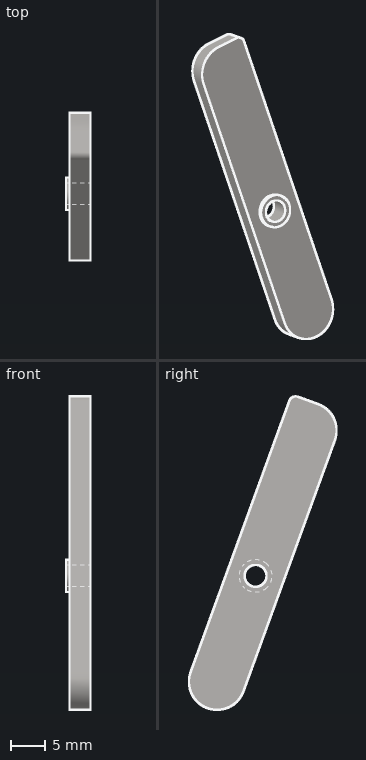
import cadquery as cq
import math

tilt = 20.0
width = 8.2
plate_thickness = 3.1
arc_center_spacing = 38.8
small_corner_radius = 1.0
end_radius = width / 2

pivot_to_lower_arc = 16.35
boss_diameter = 4.75
boss_height = 0.5
bore_diameter = 3.15

lower_arc_z = -pivot_to_lower_arc
upper_arc_z = lower_arc_z + arc_center_spacing
top_z = upper_arc_z + end_radius


def make_plate():
    """Upright plate from X = 0 to +X, with the pivot axis at Y = Z = 0."""
    corner_y = -end_radius + small_corner_radius
    corner_z = top_z - small_corner_radius
    diagonal = math.sqrt(0.5)
    return (
        cq.Workplane("YZ")
        .moveTo(-end_radius, lower_arc_z)
        .threePointArc((0, lower_arc_z - end_radius), (end_radius, lower_arc_z))
        .lineTo(end_radius, upper_arc_z)
        .threePointArc(
            (end_radius * diagonal, upper_arc_z + end_radius * diagonal),
            (0, top_z),
        )
        .lineTo(corner_y, top_z)
        .threePointArc(
            (corner_y - small_corner_radius * diagonal, corner_z + small_corner_radius * diagonal),
            (-end_radius, corner_z),
        )
        .close()
        .extrude(plate_thickness)
    )


def make_boss():
    """Low round boss standing on the -X face."""
    return cq.Workplane("YZ").circle(boss_diameter / 2).extrude(-boss_height)


def make_bore():
    """Pivot hole through the boss and the plate."""
    return (
        cq.Workplane("YZ", origin=(-boss_height, 0, 0))
        .circle(bore_diameter / 2)
        .extrude(boss_height + plate_thickness)
    )


upright_lever = make_plate().union(make_boss()).cut(make_bore())

result = upright_lever.rotate((0, 0, 0), (1, 0, 0), -tilt)